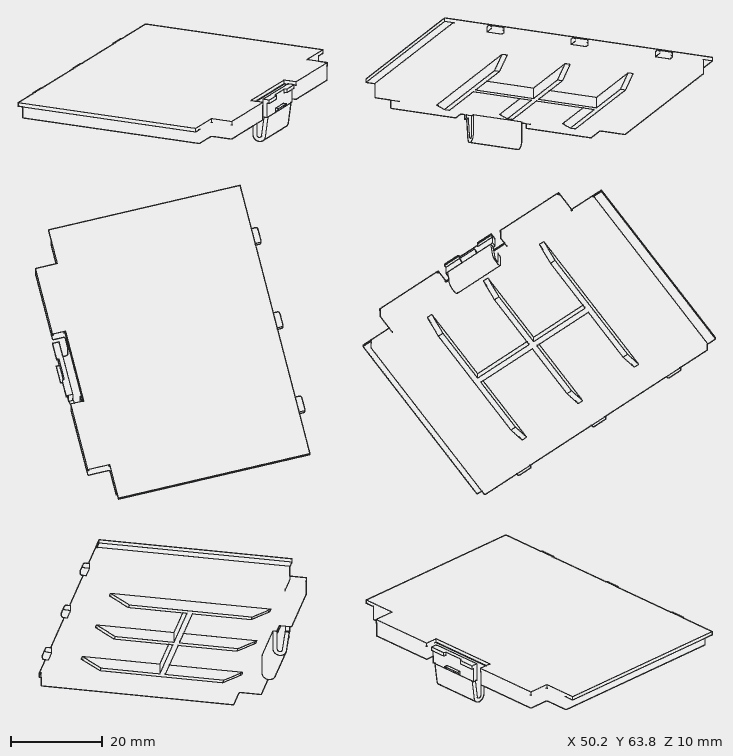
import cadquery as cq
import math

plate_length = 63.8
plate_thickness = 0.8
main_right = 43.05
tab_right = 48.0
tab_width = 47.85

body_bottom = -4.15
body_width = 59.7
body_edge_radius = 0.25

notch_width = 16.6
notch_left = 45.05
body_notch_left = 45.2

lug_reach = 1.45
lug_width = 3.6
lug_top = -0.65
lug_height = 1.2
lug_pitch = 20.0
lug_tip_radius = 0.5

rib_bottom = -6.6
rib_thickness = 1.2
rib_pitch = 15.0
rib_root_left = 6.0
rib_root_right = 41.8
rib_slope_run = 4.2

latch_bottom = -10.0
latch_thickness = 0.95
latch_width = 11.55
latch_lean = math.radians(8)
bend_inner_radius = 0.6
head_width = 12.5
head_thickness = 0.95
lip_reach = 0.5
lip_thickness = plate_thickness
lip_gap_inner = 4.6
lip_gap_outer = 5.2
hook_width = 3.95
hook_reach = 0.75
hook_top = -3.1
hook_height = 0.95

overlap = 0.3


def tabbed_slab(main_width, notch_x, top, bottom):
    """Slab with a narrower tab on the right, and a latch notch in the tab."""
    height = top - bottom
    main = cq.Workplane("XY", origin=(0, 0, bottom)).box(
        main_right, main_width, height, centered=(False, True, False)
    )
    tab = cq.Workplane("XY", origin=(0, 0, bottom)).box(
        tab_right, tab_width, height, centered=(False, True, False)
    )
    notch = cq.Workplane("XY", origin=(notch_x, 0, bottom)).box(
        tab_right, notch_width, height, centered=(False, True, False)
    )
    return main.union(tab).cut(notch)


def side_profile(points, width):
    """Closed XZ outline extruded symmetrically about Y = 0."""
    return cq.Workplane("XZ").polyline(points).close().extrude(width / 2, both=True)


def make_lug():
    lug = cq.Workplane("XY", origin=(-lug_reach, 0, lug_top - lug_height)).box(
        lug_reach + overlap, lug_width, lug_height, centered=(False, True, False)
    )
    return lug.faces("<X").edges().fillet(lug_tip_radius)


def make_rib():
    root = body_bottom + overlap
    return side_profile(
        [
            (rib_root_left, root),
            (rib_root_left, body_bottom),
            (rib_root_left + rib_slope_run, rib_bottom),
            (rib_root_right - rib_slope_run, rib_bottom),
            (rib_root_right, body_bottom),
            (rib_root_right, root),
        ],
        rib_thickness,
    )


def make_cross_rib():
    """Transverse rib that ties the three long ribs together at mid-length."""
    middle = (rib_root_left + rib_root_right) / 2
    height = body_bottom + overlap - rib_bottom
    return cq.Workplane("XY", origin=(middle, 0, rib_bottom)).box(
        rib_thickness, 2 * rib_pitch, height, centered=(True, True, False)
    )


def make_latch_spring():
    outer_radius = bend_inner_radius + latch_thickness
    center_x = body_notch_left + bend_inner_radius
    center_z = latch_bottom + outer_radius
    leg_top = body_bottom + overlap

    def bend_point(radius, angle):
        return (center_x + radius * math.cos(angle), center_z + radius * math.sin(angle))

    def arm_top(radius, x):
        """Point where the leaning line tangent to the bend reaches x."""
        start_x, start_z = bend_point(radius, -latch_lean)
        return (x, start_z + (x - start_x) / math.tan(latch_lean))

    return (
        cq.Workplane("XZ")
        .moveTo(center_x - outer_radius, leg_top)
        .lineTo(center_x - outer_radius, center_z)
        .threePointArc(bend_point(outer_radius, -math.pi / 2), bend_point(outer_radius, -latch_lean))
        .lineTo(*arm_top(outer_radius, tab_right))
        .lineTo(tab_right, hook_top)
        .lineTo(tab_right - head_thickness, hook_top)
        .lineTo(*arm_top(bend_inner_radius, tab_right - head_thickness))
        .lineTo(*bend_point(bend_inner_radius, -latch_lean))
        .threePointArc(bend_point(bend_inner_radius, -math.pi / 2), (body_notch_left, center_z))
        .lineTo(body_notch_left, leg_top)
        .close()
        .extrude(latch_width / 2, both=True)
    )


def make_latch_head():
    head_bottom = hook_top - hook_height
    head_left = tab_right - head_thickness
    lip_right = tab_right + lip_reach
    upright = side_profile(
        [(head_left, 0), (tab_right, 0), (tab_right, head_bottom), (head_left, head_bottom)],
        head_width,
    )
    lip = side_profile(
        [(head_left, 0), (lip_right, 0), (lip_right, -lip_thickness), (head_left, -lip_thickness)],
        head_width,
    )
    lip_gap = (
        cq.Workplane("XY")
        .polyline(
            [
                (tab_right, -lip_gap_inner / 2),
                (lip_right, -lip_gap_outer / 2),
                (lip_right, lip_gap_outer / 2),
                (tab_right, lip_gap_inner / 2),
            ]
        )
        .close()
        .extrude(-lip_thickness)
    )
    hook = side_profile(
        [
            (head_left, hook_top),
            (tab_right + hook_reach, hook_top),
            (tab_right, head_bottom),
            (head_left, head_bottom),
        ],
        hook_width,
    )
    return upright.union(lip).cut(lip_gap).union(hook)


plate = tabbed_slab(plate_length, notch_left, 0, -plate_thickness)
body = tabbed_slab(body_width, body_notch_left, -plate_thickness, body_bottom)
body = body.edges("|Z or <Z").fillet(body_edge_radius)

result = plate.union(body)
for step in (-1, 0, 1):
    result = result.union(make_lug().translate((0, step * lug_pitch, 0)))
    result = result.union(make_rib().translate((0, step * rib_pitch, 0)))
result = result.union(make_cross_rib())
result = result.union(make_latch_spring()).union(make_latch_head())